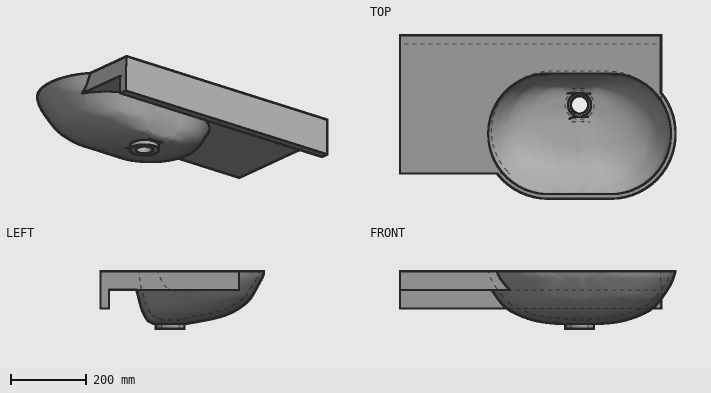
import cadquery as cq


COUNTER_BOTTOM_LENGTH = 695.0
COUNTER_TOP_LENGTH = 692.0
COUNTER_DEPTH = 368.0
COUNTER_THICKNESS = 50.0
LIP_THICKNESS = 23.5
LIP_HEIGHT = 100.0

OVERALL_LENGTH = 733.02
OVERALL_DEPTH = 435.32
RIM_HALF_LENGTH = 255.5
RIM_HALF_DEPTH = 173.0
BASIN_WALL = 12.5
BASIN_CENTER_X = OVERALL_LENGTH - RIM_HALF_LENGTH
BASIN_CENTER_Y = RIM_HALF_DEPTH - OVERALL_DEPTH

TOTAL_HEIGHT = 154.0
BASIN_DEPTH = 141.0
BOWL_FLOOR_DEPTH = 127.0
DRAIN_Y = -185.5
DRAIN_BOSS_DIAMETER = 77.0
DRAIN_HOLE_DIAMETER = 46.0
DRAIN_SEAT_DIAMETER = 62.0
DRAIN_SEAT_DEPTH = 5.0
DRAIN_FLAT_RADIUS = 44.5
MIN_STRAIGHT = 1.0

BASIN_SECTIONS = [
    (0.0, RIM_HALF_LENGTH, -OVERALL_DEPTH, BASIN_CENTER_Y + RIM_HALF_DEPTH),
    (28.0, 246.0, -425.0, -92.5),
    (54.0, 231.5, -411.0, -96.5),
    (82.0, 211.0, -391.0, -104.0),
    (100.0, 193.5, -368.0, -109.0),
    (118.0, 161.0, -332.0, -117.0),
    (129.0, 131.0, -292.0, -123.5),
    (138.0, 87.0, -243.0, -137.0),
    (
        BASIN_DEPTH,
        DRAIN_FLAT_RADIUS + MIN_STRAIGHT,
        DRAIN_Y - DRAIN_FLAT_RADIUS,
        DRAIN_Y + DRAIN_FLAT_RADIUS,
    ),
]


def stadium_wire(depth, half_length, front_y, rear_y):
    """Horizontal stadium outline, long in X, at a depth below the rim."""
    radius = (rear_y - front_y) / 2
    half_straight = half_length - radius
    center_y = (front_y + rear_y) / 2
    return (
        cq.Workplane("XY", origin=(BASIN_CENTER_X, center_y, -depth))
        .moveTo(-half_straight, -radius)
        .lineTo(half_straight, -radius)
        .threePointArc((half_length, 0), (half_straight, radius))
        .lineTo(-half_straight, radius)
        .threePointArc((-half_length, 0), (-half_straight, -radius))
        .close()
        .val()
    )


def basin_body(inset, body_depth):
    """Smooth basin solid, inset in plan and scaled in height to body_depth."""
    depth_ratio = body_depth / BASIN_DEPTH
    wires = [
        stadium_wire(depth * depth_ratio, half_length - inset, front_y + inset, rear_y - inset)
        for depth, half_length, front_y, rear_y in BASIN_SECTIONS
    ]
    return cq.Workplane(cq.occ_impl.shapes.loft(wires, cap=True, parametrization="chordal"))


def counter():
    """Slab with a slightly sloping right end and a rear lip.

    The front right corner is cut off diagonally so that it ends inside the basin.
    """
    slab = (
        cq.Workplane("XZ")
        .polyline(
            [
                (0, 0),
                (COUNTER_TOP_LENGTH, 0),
                (COUNTER_BOTTOM_LENGTH, -COUNTER_THICKNESS),
                (0, -COUNTER_THICKNESS),
            ]
        )
        .close()
        .extrude(COUNTER_DEPTH)
    )
    front_right_corner = (
        cq.Workplane("XY")
        .polyline(
            [
                (BASIN_CENTER_X, -COUNTER_DEPTH),
                (COUNTER_BOTTOM_LENGTH, -COUNTER_DEPTH),
                (COUNTER_BOTTOM_LENGTH, BASIN_CENTER_Y),
            ]
        )
        .close()
        .extrude(-COUNTER_THICKNESS)
    )
    lip_drop = LIP_HEIGHT - COUNTER_THICKNESS
    lip = (
        cq.Workplane("XY", origin=(0, -LIP_THICKNESS, -LIP_HEIGHT))
        .box(COUNTER_BOTTOM_LENGTH, LIP_THICKNESS, lip_drop, centered=False)
    )
    return slab.cut(front_right_corner).union(lip)


def drain_cylinder(diameter, bottom_depth, top_depth):
    """Vertical cylinder on the drain axis."""
    return (
        cq.Workplane("XY", origin=(BASIN_CENTER_X, DRAIN_Y, -bottom_depth))
        .circle(diameter / 2)
        .extrude(bottom_depth - top_depth)
    )


def drain_seat():
    """Conical seat from the bowl floor down to the drain hole."""
    return (
        cq.Workplane("XY", origin=(BASIN_CENTER_X, DRAIN_Y, -BOWL_FLOOR_DEPTH))
        .circle(DRAIN_SEAT_DIAMETER / 2)
        .workplane(offset=-DRAIN_SEAT_DEPTH)
        .circle(DRAIN_HOLE_DIAMETER / 2)
        .loft()
    )


result = (
    counter()
    .union(basin_body(0, BASIN_DEPTH))
    .union(drain_cylinder(DRAIN_BOSS_DIAMETER, TOTAL_HEIGHT, BOWL_FLOOR_DEPTH))
    .cut(basin_body(BASIN_WALL, BOWL_FLOOR_DEPTH))
    .cut(drain_seat())
    .cut(drain_cylinder(DRAIN_HOLE_DIAMETER, TOTAL_HEIGHT, 0))
)